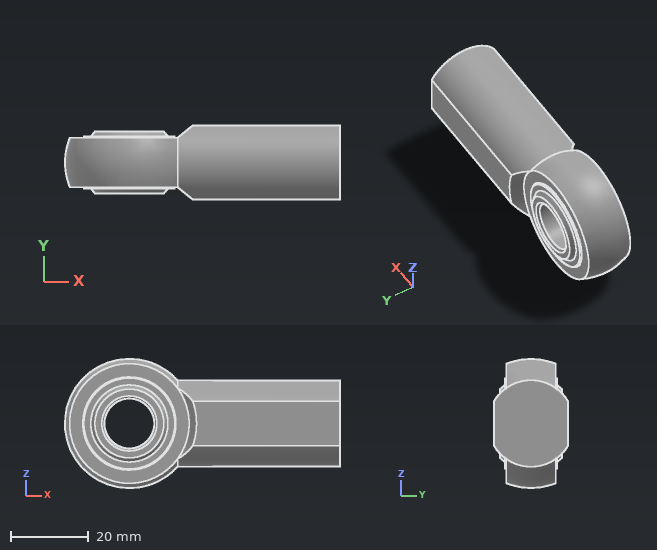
import cadquery as cq
import math

total_length = 70.65
eye_radius = 16.6
eye_half_width = 6.35
shank_radius = 11.1
shank_half_width = 9.55
relief_outer_radius = 17.25
race_radius = 11.65
race_half_width = 6.7
race_groove_width = 0.3
race_groove_depth = 0.35
ball_base_radius = 9.9
ball_face_radius = 8.8
ball_half_width = 8.0
bore_radius = 6.35
bore_chamfer = 0.7

shank_end = total_length - eye_radius
eye_face_radius = math.sqrt(eye_radius**2 - eye_half_width**2)


def revolve_about_bore(points):
    """Revolve a closed (radius, Y) outline around the bore axis."""
    return cq.Workplane("XY").polyline(points).close().revolve(360, (0, 0, 0), (0, 1, 0))


def make_eye():
    """Sphere cut flat on both bore faces."""
    slab = cq.Workplane("XY").box(2 * eye_radius, 2 * eye_half_width, 2 * eye_radius)
    return cq.Workplane("XY").sphere(eye_radius).intersect(slab)


def make_shank():
    """Round bar with two side flats, relieved by a cone on each side of the eye."""
    bar = cq.Workplane("YZ").circle(shank_radius).extrude(shank_end)
    flats = cq.Workplane("XY").box(2 * shank_end, 2 * shank_half_width, 2 * shank_radius)
    shank = bar.intersect(flats)
    for side in (1, -1):
        relief = revolve_about_bore([
            (0, side * eye_half_width),
            (eye_face_radius, side * eye_half_width),
            (relief_outer_radius, side * shank_half_width),
            (0, side * shank_half_width),
        ])
        shank = shank.cut(relief)
    return shank


def make_race_groove(side):
    """Narrow ring groove around the race in one eye face."""
    bottom = side * (eye_half_width - race_groove_depth)
    top = side * race_half_width
    outer = race_radius + race_groove_width
    return revolve_about_bore([(race_radius, bottom), (outer, bottom), (outer, top), (race_radius, top)])


def make_bearing():
    """Race standing proud of the eye, with the tapered ball ends beyond it."""
    return revolve_about_bore([
        (0, -ball_half_width),
        (ball_face_radius, -ball_half_width),
        (ball_base_radius, -race_half_width),
        (race_radius, -race_half_width),
        (race_radius, race_half_width),
        (ball_base_radius, race_half_width),
        (ball_face_radius, ball_half_width),
        (0, ball_half_width),
    ])


def make_bore():
    """Through bore with a chamfer at each mouth."""
    mouth_radius = bore_radius + bore_chamfer
    chamfer_start = ball_half_width - bore_chamfer
    return revolve_about_bore([
        (0, -ball_half_width),
        (mouth_radius, -ball_half_width),
        (bore_radius, -chamfer_start),
        (bore_radius, chamfer_start),
        (mouth_radius, ball_half_width),
        (0, ball_half_width),
    ])


body = make_eye().union(make_shank())
for face_side in (1, -1):
    body = body.cut(make_race_groove(face_side))
result = body.union(make_bearing()).cut(make_bore())